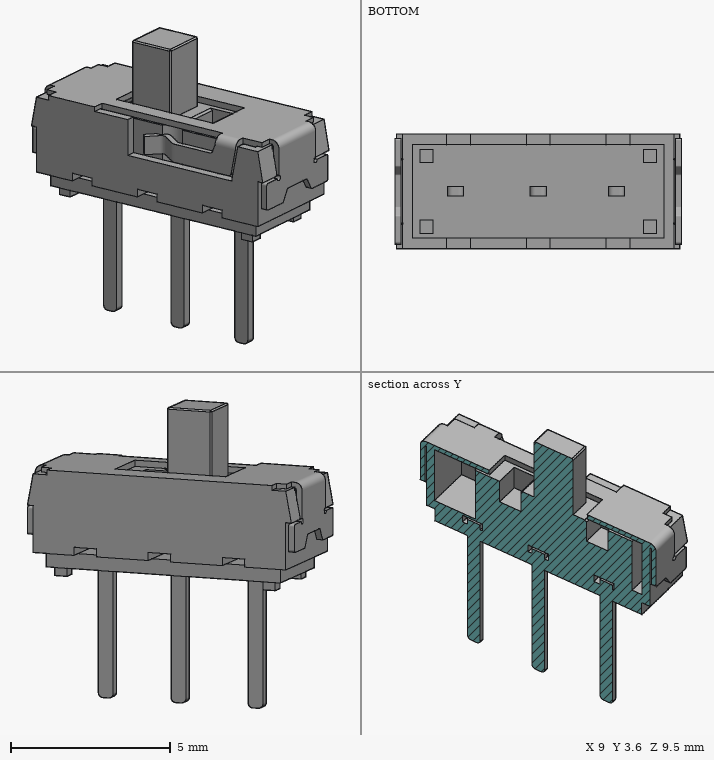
import cadquery as cq
import math


BASE_LENGTH = 7.885
BASE_WIDTH = 2.93
BASE_HEIGHT = 0.49
FOOT_LENGTH = 0.42
FOOT_WIDTH = 0.42
FOOT_HEIGHT = 0.285
FOOT_X = 3.51
FOOT_Y = 1.11
PIN_XS = (-2.59, 0, 2.45)
PIN_LENGTH_X = 0.5
PIN_THICKNESS = 0.3
PIN_BOTTOM = -4.29
PIN_TOP = 0.69
PIN_TIP_RADIUS = 0.16

HOUSING_LENGTH = 8.51
HOUSING_WIDTH = 3.6
HOUSING_TOP = 3.0
WALL = 0.31
CAVITY_LENGTH = 7.885
CAVITY_FLOOR = 0.855
NOTCH_PITCH = 2.5
NOTCH_LENGTH = 0.75
NOTCH_HEIGHT = 0.26
EAR_REACH = 0.19
EAR_BOTTOM = 1.995
EAR_INNER_Y = 1.03
WINDOW_LEFT = -0.74
WINDOW_RIGHT_BOTTOM = 3.25
WINDOW_RIGHT_TOP = 3.49
WINDOW_BOTTOM = 1.805

KNOB_X = -0.59
KNOB_SIDE = 1.5
KNOB_TOP = 5.21
KNOB_CHAMFER = 0.05
SLIDER_HALF_LENGTH = 2.99
SLIDER_WIDTH = 2.68
SLIDER_TOP = 2.89
POCKET_NEAR = 1.19
POCKET_FAR = 2.05
POCKET_WIDTH = 1.6
POCKET_DEPTH = 0.855
POCKET_CHAMFER = 0.07
DETENT_OFFSET = 1.235
DETENT_RADIUS = 0.38

COVER_LENGTH = 9.0
COVER_TOP = 3.15
SHEET = 0.2
END_BEND_RADIUS = 0.26
SLOT_LENGTH = 3.71
SLOT_WIDTH = 1.7
CORNER_X = 3.79
CORNER_Y = 1.4
CORNER_STEP_X = 4.13
NECK_HALF = 1.0
FRONT_CUT_LEFT = -2.01
ARM_HALF = 1.66
ARM_TOP = 1.93
ARM_BOTTOM = 1.04
ARM_RADIUS = 0.08
RELIEF_RADIUS = 0.09
TAB_CUT_TOP = 1.44
TAB_CUT_TOP_HALF = 0.52
TAB_CUT_BOTTOM_HALF = 0.77
TAB_CUT_RADIUS = 0.06

SPRING_LEFT = 2.61
SPRING_RIGHT = 3.39
SPRING_BEND_RADIUS = 0.285
SPRING_TOP = 2.565
SPRING_BOTTOM = 1.96
SPRING_NECK_X = 2.48
SPRING_FOOT_X = 3.21
SPRING_CORNER_RADIUS = 0.11
SPRING_KNEE_X = 0.98
SPRING_APEX_X = 0.33
SPRING_APEX_DEPTH = 0.47
SPRING_TIP_X = -0.11
SPRING_TIP_DEPTH = 0.02
KNEE_RADIUS = 0.29
APEX_RADIUS = 0.15

FRONT_Y = -HOUSING_WIDTH / 2
CAVITY_WIDTH = HOUSING_WIDTH - 2 * WALL
COVER_BOTTOM = COVER_TOP - SHEET
SPRING_BEND_Y = FRONT_Y + SPRING_BEND_RADIUS
SPRING_BEND_Z = COVER_TOP - SPRING_BEND_RADIUS


def block(x0, x1, y0, y1, z0, z1):
    """Box between two opposite corners."""
    return cq.Workplane("XY").box(x1 - x0, y1 - y0, z1 - z0, centered=False).translate((x0, y0, z0))


def centred_block(length, width, z0, z1, x=0, y=0):
    """Box centred on (x, y) in plan."""
    return block(x - length / 2, x + length / 2, y - width / 2, y + width / 2, z0, z1)


def prism_along_y(points, y0, y1):
    """Extrude an XZ outline from y0 to y1."""
    return cq.Workplane("XZ", origin=(0, y0, 0)).polyline(points).close().extrude(y0 - y1)


def bend(radius, length):
    """Quarter ring of sheet about the X axis, from the -Y side up to +Z."""
    ring = cq.Workplane("YZ").circle(radius).circle(radius - SHEET).extrude(length)
    return ring.intersect(block(0, length, -radius, 0, 0, radius))


def make_housing():
    body = centred_block(HOUSING_LENGTH, HOUSING_WIDTH, BASE_HEIGHT, HOUSING_TOP)
    half = HOUSING_LENGTH / 2
    for side in (-1, 1):
        ear = [
            (side * half, HOUSING_TOP),
            (side * (half + EAR_REACH), EAR_BOTTOM),
            (side * half, EAR_BOTTOM),
            (side * (half - EAR_REACH), HOUSING_TOP),
        ]
        body = body.union(prism_along_y(ear, FRONT_Y, -EAR_INNER_Y))
        body = body.union(prism_along_y(ear, EAR_INNER_Y, -FRONT_Y))

    body = body.cut(centred_block(CAVITY_LENGTH, CAVITY_WIDTH, CAVITY_FLOOR, HOUSING_TOP))

    window = [
        (WINDOW_LEFT, WINDOW_BOTTOM),
        (WINDOW_RIGHT_BOTTOM, WINDOW_BOTTOM),
        (WINDOW_RIGHT_TOP, HOUSING_TOP),
        (WINDOW_LEFT, HOUSING_TOP),
    ]
    body = body.cut(prism_along_y(window, FRONT_Y, FRONT_Y + WALL))

    for x in (-NOTCH_PITCH, 0, NOTCH_PITCH):
        notch_top = BASE_HEIGHT + NOTCH_HEIGHT
        body = body.cut(centred_block(NOTCH_LENGTH, HOUSING_WIDTH, BASE_HEIGHT, notch_top, x))
    return body


def make_base():
    base = centred_block(BASE_LENGTH, BASE_WIDTH, 0, BASE_HEIGHT)
    for x in (-FOOT_X, FOOT_X):
        for y in (-FOOT_Y, FOOT_Y):
            base = base.union(centred_block(FOOT_LENGTH, FOOT_WIDTH, -FOOT_HEIGHT, 0, x, y))
    for x in PIN_XS:
        pin = centred_block(PIN_LENGTH_X, PIN_THICKNESS, PIN_BOTTOM, PIN_TOP, x)
        pin = pin.faces("<Z").edges("|Y").fillet(PIN_TIP_RADIUS)
        base = base.union(pin)
    return base


def make_slider():
    length = 2 * SLIDER_HALF_LENGTH
    slider = centred_block(length, SLIDER_WIDTH, CAVITY_FLOOR, SLIDER_TOP, KNOB_X)
    floor = SLIDER_TOP - POCKET_DEPTH
    for side in (-1, 1):
        pocket = [
            (KNOB_X + side * POCKET_NEAR, SLIDER_TOP),
            (KNOB_X + side * POCKET_FAR, SLIDER_TOP),
            (KNOB_X + side * POCKET_FAR, floor),
            (KNOB_X + side * (POCKET_NEAR + POCKET_CHAMFER), floor),
            (KNOB_X + side * (POCKET_NEAR + POCKET_CHAMFER), SLIDER_TOP - POCKET_CHAMFER),
        ]
        slider = slider.cut(prism_along_y(pocket, -POCKET_WIDTH / 2, POCKET_WIDTH / 2))
        groove_origin = (KNOB_X + side * DETENT_OFFSET, -SLIDER_WIDTH / 2, CAVITY_FLOOR)
        groove = cq.Workplane("XY", origin=groove_origin)
        slider = slider.cut(groove.circle(DETENT_RADIUS).extrude(SLIDER_TOP - CAVITY_FLOOR))

    knob = centred_block(KNOB_SIDE, KNOB_SIDE, SLIDER_TOP, KNOB_TOP, KNOB_X)
    knob = knob.edges("|Z or >Z").chamfer(KNOB_CHAMFER)
    return slider.union(knob)


def make_end_tab():
    """T-shaped tab with its bend, at the -X end of the cover."""
    outer_x = -COVER_LENGTH / 2
    bend_z = COVER_TOP - END_BEND_RADIUS
    plane = cq.Workplane("YZ", origin=(outer_x, 0, 0))

    arms = block(outer_x, outer_x + SHEET, -ARM_HALF, ARM_HALF, ARM_BOTTOM, ARM_TOP)
    arms = arms.edges("|X").fillet(ARM_RADIUS)
    cut_outline = [
        (-TAB_CUT_BOTTOM_HALF, ARM_BOTTOM),
        (-TAB_CUT_TOP_HALF, TAB_CUT_TOP),
        (TAB_CUT_TOP_HALF, TAB_CUT_TOP),
        (TAB_CUT_BOTTOM_HALF, ARM_BOTTOM),
    ]
    arms = arms.cut(plane.polyline(cut_outline).close().extrude(SHEET))
    for y, z in cut_outline:
        corner = cq.selectors.NearestToPointSelector((outer_x + SHEET / 2, y, z))
        arms = arms.edges("|X").edges(corner).fillet(TAB_CUT_RADIUS)

    neck = block(outer_x, outer_x + SHEET, -NECK_HALF, NECK_HALF, ARM_TOP - ARM_RADIUS, bend_z)
    tab = arms.union(neck)
    for y in (-NECK_HALF, NECK_HALF):
        tab = tab.cut(plane.center(y, ARM_TOP).circle(RELIEF_RADIUS).extrude(SHEET))

    end_bend = bend(END_BEND_RADIUS, 2 * NECK_HALF).rotate((0, 0, 0), (0, 0, 1), -90)
    return tab.union(end_bend.translate((outer_x + END_BEND_RADIUS, NECK_HALF, bend_z)))


def make_cover():
    half = COVER_LENGTH / 2 - END_BEND_RADIUS
    side_y = HOUSING_WIDTH / 2
    cover = centred_block(2 * half, HOUSING_WIDTH, COVER_BOTTOM, COVER_TOP)
    cover = cover.cut(centred_block(SLOT_LENGTH, SLOT_WIDTH, COVER_BOTTOM, COVER_TOP))

    corner = block(CORNER_X, half, CORNER_Y, side_y, COVER_BOTTOM, COVER_TOP)
    corner = corner.union(block(CORNER_STEP_X, half, NECK_HALF, side_y, COVER_BOTTOM, COVER_TOP))
    for cutter in (corner, corner.mirror("YZ")):
        cover = cover.cut(cutter).cut(cutter.mirror("XZ"))

    cover = cover.cut(block(FRONT_CUT_LEFT, half, FRONT_Y, -CORNER_Y, COVER_BOTTOM, COVER_TOP))
    cover = cover.union(
        block(SPRING_LEFT, SPRING_RIGHT, SPRING_BEND_Y, -CORNER_Y, COVER_BOTTOM, COVER_TOP))

    tab = make_end_tab()
    return cover.union(tab).union(tab.mirror("YZ"))


def unit_normal(start, end):
    """Left-hand unit normal of the segment from start to end."""
    dx = end[0] - start[0]
    dy = end[1] - start[1]
    length = math.hypot(dx, dy)
    return -dy / length, dx / length


def offset_path(points, distance):
    """Parallel copy of an open path, to its left, with mitred corners."""
    normals = [unit_normal(a, b) for a, b in zip(points, points[1:])]
    before = normals[:1] + normals
    after = normals + normals[-1:]
    moved = []
    for point, n, m in zip(points, before, after):
        scale = distance / (1 + n[0] * m[0] + n[1] * m[1])
        moved.append((point[0] + scale * (n[0] + m[0]), point[1] + scale * (n[1] + m[1])))
    return moved


def make_spring():
    outer = [
        (SPRING_TIP_X, FRONT_Y + SPRING_TIP_DEPTH),
        (SPRING_APEX_X, FRONT_Y + SPRING_APEX_DEPTH),
        (SPRING_KNEE_X, FRONT_Y),
        (SPRING_RIGHT, FRONT_Y),
    ]
    inner = offset_path(outer, SHEET)
    strip = cq.Workplane("XY", origin=(0, 0, SPRING_BOTTOM)).polyline(outer + inner[::-1]).close()
    strip = strip.extrude(SPRING_BEND_Z - SPRING_BOTTOM)
    bends = (
        (outer[1], APEX_RADIUS),
        (inner[1], APEX_RADIUS + SHEET),
        (outer[2], KNEE_RADIUS),
        (inner[2], KNEE_RADIUS - SHEET),
    )
    for (x, y), radius in bends:
        corner = cq.selectors.NearestToPointSelector((x, y, (SPRING_BOTTOM + SPRING_BEND_Z) / 2))
        strip = strip.edges("|Z").edges(corner).fillet(radius)

    left = outer[0][0] - SHEET
    side_outline = [
        (left, SPRING_BOTTOM),
        (SPRING_FOOT_X, SPRING_BOTTOM),
        (SPRING_RIGHT, SPRING_BEND_Z),
        (SPRING_LEFT, SPRING_BEND_Z),
        (SPRING_NECK_X, SPRING_TOP),
        (left, SPRING_TOP),
    ]
    side_shape = prism_along_y(side_outline, FRONT_Y, 0)
    for x, z in (side_outline[1], side_outline[4]):
        corner = cq.selectors.NearestToPointSelector((x, FRONT_Y / 2, z))
        side_shape = side_shape.edges("|Y").edges(corner).fillet(SPRING_CORNER_RADIUS)

    root = bend(SPRING_BEND_RADIUS, SPRING_RIGHT - SPRING_LEFT)
    root = root.translate((SPRING_LEFT, SPRING_BEND_Y, SPRING_BEND_Z))
    return strip.intersect(side_shape).union(root)


result = make_housing()
for piece in (make_base(), make_slider(), make_cover(), make_spring()):
    result = result.union(piece)